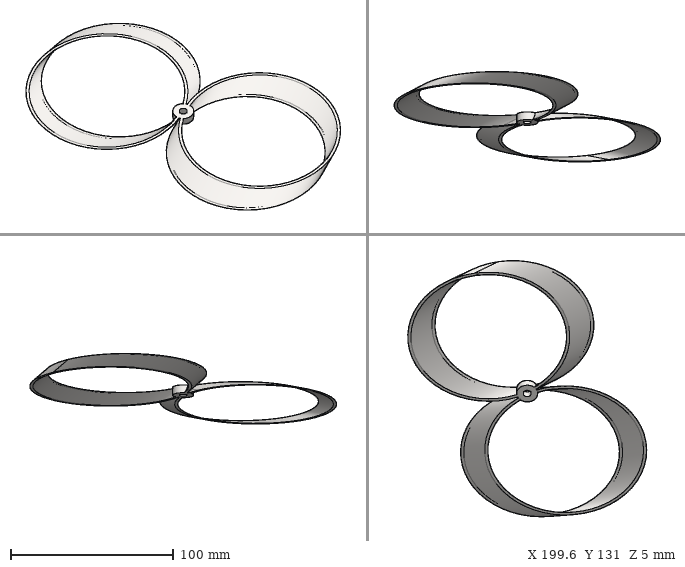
import cadquery as cq
import math

span = 199.6
height = 5.0
wall = 2.0
sweep_angle = 18.2
hub_diameter = 13.0
shaft_diameter = 4.8

ring_outer_radius = span / 4
ring_inner_radius = ring_outer_radius - wall

bottom_shift_x = ring_outer_radius * math.cos(math.radians(sweep_angle))
bottom_shift_y = ring_outer_radius * math.sin(math.radians(sweep_angle))


def slanted_cylinder(side, radius):
    """Oblique cylinder whose straight sides lean from the bottom ring to the top ring."""
    bottom_center = (side * bottom_shift_x, -side * bottom_shift_y)
    top_center = (side * ring_outer_radius, 0)
    return (
        cq.Workplane("XY")
        .moveTo(*bottom_center)
        .circle(radius)
        .workplane(offset=height)
        .moveTo(*top_center)
        .circle(radius)
        .loft(ruled=True)
    )


def ring_blade(side):
    """Looped blade on one side (-1 or 1) of the hub."""
    return slanted_cylinder(side, ring_outer_radius).cut(slanted_cylinder(side, ring_inner_radius))


result = cq.Workplane("XY").circle(hub_diameter / 2).extrude(height)
for side in (-1, 1):
    result = result.union(ring_blade(side))

shaft_hole = cq.Workplane("XY").circle(shaft_diameter / 2).extrude(height)
result = result.cut(shaft_hole)